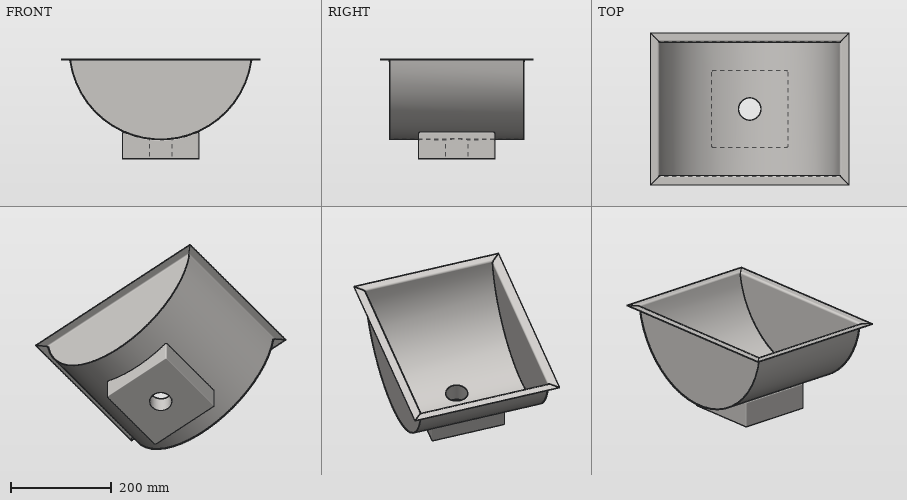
import cadquery as cq
import math

rim_length = 394.79
rim_width = 302.23
total_height = 198.59
sheet = 1.5
bend_radius = 3.0
outer_bend = bend_radius + sheet

trough_radius = 182.5
trough_inner_radius = trough_radius - sheet
trough_axis_z = 22.0

end_face_y = 133.8
end_inner_y = end_face_y - sheet

drain_diameter = 44.0
block_size = 152.4
block_round = 3.0
block_base_round = 1.5

bend_bottom_z = -sheet - bend_radius
mitre_offset = (rim_length - rim_width) / 2


def plan_slab(bottom_z, top_z, width_y):
    """Slab of full rim length between two heights."""
    return (
        cq.Workplane("XY", origin=(0, 0, bottom_z))
        .rect(rim_length, width_y)
        .extrude(top_z - bottom_z)
    )


def end_mitre_zone(side):
    """Part of the flange and bend layer that lies between the two mitres of one end."""
    inner_x = end_inner_y + mitre_offset
    return (
        cq.Workplane("XY", origin=(0, 0, bend_bottom_z))
        .moveTo(-inner_x, side * end_inner_y)
        .lineTo(inner_x, side * end_inner_y)
        .lineTo(rim_length / 2, side * rim_width / 2)
        .lineTo(-rim_length / 2, side * rim_width / 2)
        .close()
        .extrude(-bend_bottom_z)
    )


def drain_hole():
    """Round drain cutter, from the rim plane down through everything."""
    return cq.Workplane("XY").circle(drain_diameter / 2).extrude(-total_height)


def make_trough():
    """Curved sheet with an outward bent flange along each long edge."""
    bend_reach = trough_radius + bend_radius
    bend_drop = trough_axis_z - bend_bottom_z
    bend_x = math.sqrt(bend_reach**2 - bend_drop**2)
    wall_angle = math.asin(bend_drop / bend_reach)
    bend_mid_angle = (wall_angle + math.pi / 2) / 2
    edge_x = rim_length / 2

    def wall_top(radius, side):
        return (
            side * radius * math.cos(wall_angle),
            trough_axis_z - radius * math.sin(wall_angle),
        )

    def bend_middle(radius, side):
        return (
            side * (bend_x - radius * math.cos(bend_mid_angle)),
            bend_bottom_z + radius * math.sin(bend_mid_angle),
        )

    def lowest(radius):
        return (0, trough_axis_z - radius)

    profile = (
        cq.Workplane("XZ")
        .moveTo(-edge_x, 0)
        .lineTo(-bend_x, 0)
        .threePointArc(bend_middle(outer_bend, -1), wall_top(trough_inner_radius, -1))
        .threePointArc(lowest(trough_inner_radius), wall_top(trough_inner_radius, 1))
        .threePointArc(bend_middle(outer_bend, 1), (bend_x, 0))
        .lineTo(edge_x, 0)
        .lineTo(edge_x, -sheet)
        .lineTo(bend_x, -sheet)
        .threePointArc(bend_middle(bend_radius, 1), wall_top(trough_radius, 1))
        .threePointArc(lowest(trough_radius), wall_top(trough_radius, -1))
        .threePointArc(bend_middle(bend_radius, -1), (-bend_x, -sheet))
        .lineTo(-edge_x, -sheet)
        .close()
    )
    wall_zone = plan_slab(-total_height, 0, 2 * end_inner_y)
    flange_zone = plan_slab(bend_bottom_z, 0, rim_width)
    trough = profile.extrude(rim_width / 2, both=True).intersect(wall_zone.union(flange_zone))
    for side in (-1, 1):
        trough = trough.cut(end_mitre_zone(side))
    return trough.cut(drain_hole())


def make_end(side):
    """End plate closing the trough at one Y side, with its mitred flange."""
    bend_y = end_face_y + bend_radius
    edge_y = rim_width / 2

    def bend_middle(radius):
        reach = radius * math.sqrt(0.5)
        return (side * (bend_y - reach), bend_bottom_z + reach)

    flange = (
        cq.Workplane("YZ")
        .moveTo(side * edge_y, 0)
        .lineTo(side * bend_y, 0)
        .threePointArc(bend_middle(outer_bend), (side * end_inner_y, bend_bottom_z))
        .lineTo(side * end_face_y, bend_bottom_z)
        .threePointArc(bend_middle(bend_radius), (side * bend_y, -sheet))
        .lineTo(side * edge_y, -sheet)
        .close()
        .extrude(rim_length / 2, both=True)
        .intersect(end_mitre_zone(side))
    )
    plate = (
        cq.Workplane("XZ", origin=(0, side * end_inner_y, trough_axis_z))
        .circle(trough_radius)
        .extrude(-side * sheet)
        .intersect(plan_slab(-total_height, bend_bottom_z, rim_width))
    )
    return plate.union(flange)


def make_drain_block():
    """Square block with rounded edges, its top hollowed to fit the trough."""
    trough_cutter = (
        cq.Workplane("XZ", origin=(0, 0, trough_axis_z))
        .circle(trough_radius)
        .extrude(block_size, both=True)
    )
    return (
        cq.Workplane("XY", origin=(0, 0, -total_height))
        .rect(block_size, block_size)
        .extrude(total_height)
        .cut(trough_cutter)
        .solids("<Z")
        .edges("not <Z")
        .fillet(block_round)
        .faces("<Z")
        .edges()
        .fillet(block_base_round)
        .cut(drain_hole())
    )


trough = make_trough()
ends = [make_end(side) for side in (-1, 1)]
drain_block = make_drain_block()

result = cq.Compound.makeCompound(
    [trough.val(), *[end.val() for end in ends], drain_block.val()]
)